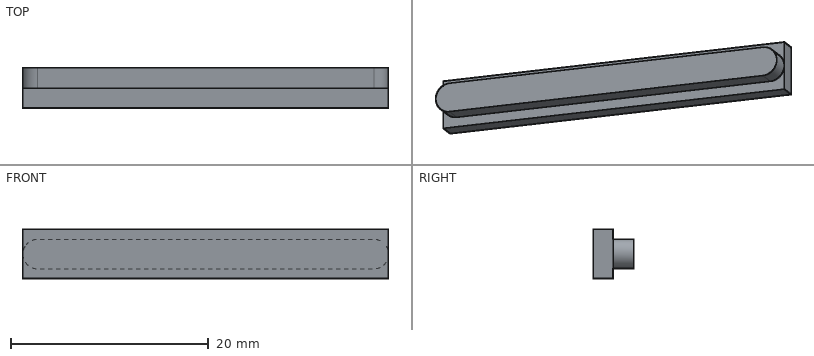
import cadquery as cq

LENGTH = 37.0
PLATE_THICKNESS = 2.0
PLATE_HEIGHT = 5.0
TONGUE_DEPTH = 2.1
TONGUE_HEIGHT = 3.0


def make_plate():
    """Rectangular front plate, with its front face on Y = 0."""
    return cq.Workplane("XY").box(
        LENGTH, PLATE_THICKNESS, PLATE_HEIGHT, centered=(True, False, True)
    )


def add_tongue(plate):
    """Full-length tongue with half-round ends, centred on the back of the plate."""
    return (
        plate.faces(">Y")
        .workplane(centerOption="CenterOfBoundBox")
        .slot2D(LENGTH, TONGUE_HEIGHT)
        .extrude(TONGUE_DEPTH)
    )


result = add_tongue(make_plate())